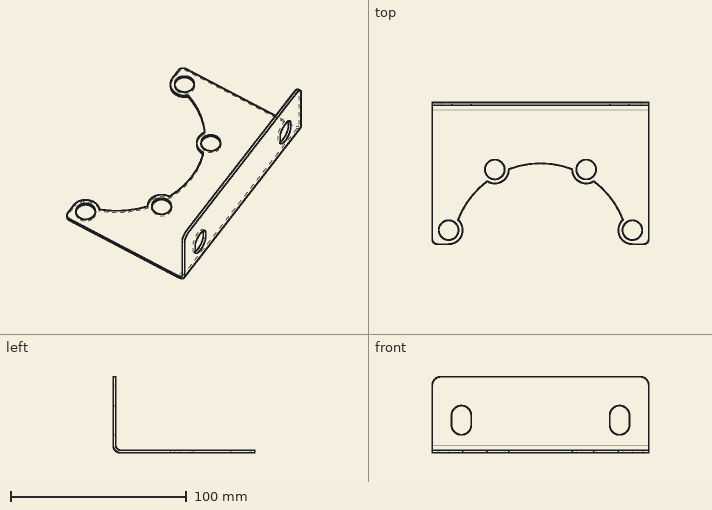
import cadquery as cq

width = 123.2
depth = 80.7
height = 43.4
thickness = 1.6
bend_inner_radius = 2.7
bend_outer_radius = bend_inner_radius + thickness
upright_corner_radius = 4.9
front_corner_radius = 3.0

hole_diameter = 11.1
pad_radius = 8.0
outer_hole_x = 52.2
outer_hole_y = pad_radius
inner_hole_x = 26.0
inner_hole_y = 42.5
hole_centers = [
    (-outer_hole_x, outer_hole_y),
    (-inner_hole_x, inner_hole_y),
    (inner_hole_x, inner_hole_y),
    (outer_hole_x, outer_hole_y),
]

cutout_radius = 50.3
cutout_center_y = -4.3

slot_width = 11.1
slot_length = 16.5
slot_x = 45.0
slot_z = 18.6


def bent_sheet():
    """L-shaped sheet with concentric inner and outer bend radii."""
    sheet = (
        cq.Workplane("YZ")
        .polyline([
            (0, 0),
            (depth, 0),
            (depth, height),
            (depth - thickness, height),
            (depth - thickness, thickness),
            (0, thickness),
        ])
        .close()
        .extrude(width / 2, both=True)
    )
    outer_bend = cq.selectors.NearestToPointSelector((0, depth, 0))
    sheet = sheet.edges(outer_bend).fillet(bend_outer_radius)
    inner_bend = cq.selectors.NearestToPointSelector((0, depth - thickness, thickness))
    sheet = sheet.edges(inner_bend).fillet(bend_inner_radius)
    sheet = sheet.faces(">Z").edges("|Y").fillet(upright_corner_radius)
    return sheet.faces("<Y").edges("|Z").fillet(front_corner_radius)


def flange_cutout():
    """Round opening, squared off at the front edge, leaving the hole pads standing."""
    disc = (
        cq.Workplane("XY")
        .center(0, cutout_center_y)
        .circle(cutout_radius)
        .extrude(thickness)
    )
    mouth = (
        cq.Workplane("XY")
        .rect(2 * outer_hole_x, 2 * outer_hole_y)
        .extrude(thickness)
    )
    pads = cq.Workplane("XY").pushPoints(hole_centers).circle(pad_radius).extrude(thickness)
    return disc.union(mouth).cut(pads)


def flange_holes():
    return cq.Workplane("XY").pushPoints(hole_centers).circle(hole_diameter / 2).extrude(thickness)


def upright_slots():
    return (
        cq.Workplane("XZ", origin=(0, depth, 0))
        .pushPoints([(-slot_x, slot_z), (slot_x, slot_z)])
        .slot2D(slot_length, slot_width, 90)
        .extrude(thickness)
    )


result = bent_sheet().cut(flange_cutout()).cut(flange_holes()).cut(upright_slots())